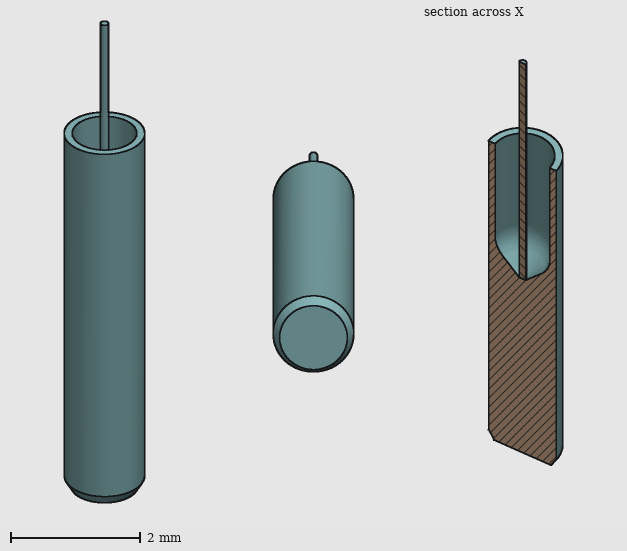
import cadquery as cq
import math

total_height = 8.4
wire_projection = 2.0
housing_height = total_height - wire_projection
housing_radius = 1.25 / 2

taper_height = 0.18
taper_inset = 0.1

bore_radius = 1.0 / 2
bore_depth = wire_projection
floor_slope = math.radians(45)

wire_radius = 0.13 / 2

sphere_center_z = housing_height - bore_depth


def sphere_point(angle):
    """Point (r, z) on the spherical end, at an angle below the horizontal."""
    return (
        bore_radius * math.cos(angle),
        sphere_center_z - bore_radius * math.sin(angle),
    )


sphere_sweep = math.pi / 2 - floor_slope
floor_rim_r, floor_rim_z = sphere_point(sphere_sweep)
wire_seat_z = floor_rim_z - (floor_rim_r - wire_radius) * math.tan(floor_slope)


def make_housing():
    """Revolved tube with a tapered closed lower end and a conical bore floor."""
    return (
        cq.Workplane("XZ")
        .lineTo(housing_radius - taper_inset, 0)
        .lineTo(housing_radius, taper_height)
        .lineTo(housing_radius, housing_height)
        .lineTo(bore_radius, housing_height)
        .lineTo(bore_radius, sphere_center_z)
        .threePointArc(sphere_point(sphere_sweep / 2), (floor_rim_r, floor_rim_z))
        .lineTo(wire_radius, wire_seat_z)
        .lineTo(0, wire_seat_z)
        .close()
        .revolve(360, (0, 0, 0), (0, 1, 0))
    )


def make_wire():
    """Straight round wire standing on the bore floor."""
    return (
        cq.Workplane("XY", origin=(0, 0, wire_seat_z))
        .circle(wire_radius)
        .extrude(total_height - wire_seat_z)
    )


housing = make_housing()
wire = make_wire()

result = cq.Compound.makeCompound([housing.val(), wire.val()])